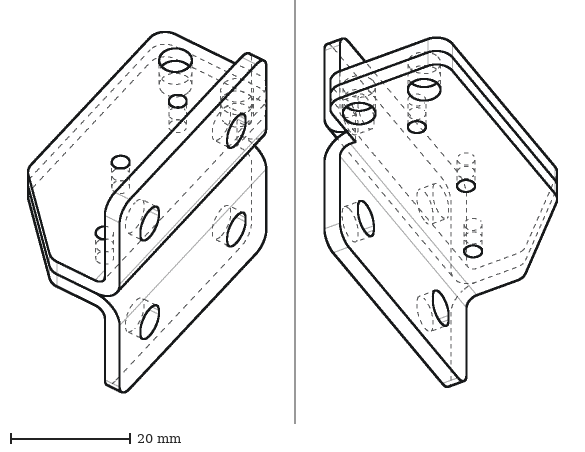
import cadquery as cq

LENGTH = 55.0
WIDTH = 29.0
HALF_HEIGHT = 23.0
SHEET = 3.0
CORNER_RADIUS = 3.0

INNER_BEND = 2.0
OUTER_BEND = INNER_BEND + SHEET

PLATE_WIDTH = 23.0
FLANGE_LENGTH = 44.0
CHAMFER = 15.0

LARGE_HOLE = 5.5
LARGE_HOLE_X = [6.5, 19.0]
LARGE_HOLE_Y = LENGTH - 5.0
SMALL_HOLE = 3.0
SMALL_HOLE_ROW_X = 12.15
SMALL_HOLE_POINTS = [(SMALL_HOLE_ROW_X, 42.3), (SMALL_HOLE_ROW_X, 25.2), (19.15, 10.05)]

SLOT_WIDTH = 5.5
SLOT_HEIGHT = 6.5
SLOT_Z = 12.0
SLOT_SPACING = 26.0
SLOT_Y = [(FLANGE_LENGTH + side * SLOT_SPACING) / 2 for side in (-1, 1)]


def bent_sheet():
    """L-shaped sheet section, extruded along the flange length."""
    section = (
        cq.Workplane("XZ")
        .polyline([(0, 0), (WIDTH, 0), (WIDTH, HALF_HEIGHT), (WIDTH - SHEET, HALF_HEIGHT),
                   (WIDTH - SHEET, SHEET), (0, SHEET)])
        .close()
        .extrude(-FLANGE_LENGTH)
    )
    outer_corner = cq.selectors.NearestToPointSelector((WIDTH, FLANGE_LENGTH / 2, 0))
    inner_corner = cq.selectors.NearestToPointSelector((WIDTH - SHEET, FLANGE_LENGTH / 2, SHEET))
    return section.edges(outer_corner).fillet(OUTER_BEND).edges(inner_corner).fillet(INNER_BEND)


def plate_extension():
    """Part of the plate that runs past the end of the flange."""
    return (
        cq.Workplane("XY")
        .rect(PLATE_WIDTH, LENGTH - FLANGE_LENGTH)
        .extrude(SHEET)
        .translate((PLATE_WIDTH / 2, (LENGTH + FLANGE_LENGTH) / 2, 0))
        .edges("|Z and >Y")
        .fillet(CORNER_RADIUS)
    )


def chamfer_plate(body):
    """Cut the front corner of the plate at 45 degrees and round both ends of the cut."""
    corner = (
        cq.Workplane("XY")
        .polyline([(0, 0), (CHAMFER, 0), (0, CHAMFER)])
        .close()
        .extrude(SHEET)
    )
    body = body.cut(corner)
    for point in [(CHAMFER, 0, SHEET / 2), (0, CHAMFER, SHEET / 2)]:
        body = body.edges(cq.selectors.NearestToPointSelector(point)).fillet(CORNER_RADIUS)
    return body


def plate_holes():
    large_points = [(x, LARGE_HOLE_Y) for x in LARGE_HOLE_X]
    large = cq.Workplane("XY").pushPoints(large_points).circle(LARGE_HOLE / 2).extrude(SHEET)
    small = cq.Workplane("XY").pushPoints(SMALL_HOLE_POINTS).circle(SMALL_HOLE / 2).extrude(SHEET)
    return large.add(small).combine()


def flange_slots():
    return (
        cq.Workplane("YZ", origin=(WIDTH - SHEET, 0, 0))
        .pushPoints([(y, SLOT_Z) for y in SLOT_Y])
        .slot2D(SLOT_HEIGHT, SLOT_WIDTH, 90)
        .extrude(SHEET)
    )


def bracket():
    """Upper bracket, with its plate resting on Z = 0."""
    body = bent_sheet().edges("|X and >Z").fillet(CORNER_RADIUS)
    body = chamfer_plate(body.union(plate_extension()))
    return body.cut(plate_holes()).cut(flange_slots()).solids().val()


upper_bracket = bracket()
lower_bracket = upper_bracket.mirror("XY")

result = cq.Compound.makeCompound([upper_bracket, lower_bracket])